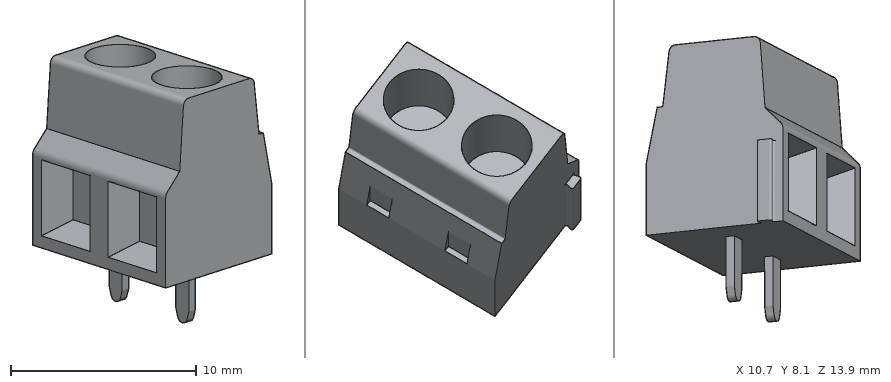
import cadquery as cq
import math


pole_count = 2
pitch = 5.08
pole_positions = [pitch * (index + 0.5) for index in range(pole_count)]

housing_length = pole_count * pitch
housing_depth = 8.1
housing_height = 10.4
front_y = -housing_depth / 2
rear_y = housing_depth / 2
front_wall_top = 5.32
shoulder_run = 1.07
tower_front_y = -2.67
tower_rear_y = 2.66
rear_wall_top = 3.97
ledge_height = 7.04
ledge_outer_y = 3.4
ledge_inner_y = 3.07
top_round = 0.4
shoulder_round = 0.5
ledge_round = 0.08

screw_hole_diameter = 3.8
screw_hole_depth = 4.0
screw_hole_y = 0.1

funnel_width = 3.7
funnel_bottom = 0.7
funnel_height = 4.32
funnel_inset = 0.65
funnel_depth = 1.75

notch_width = 1.43
notch_depth = 0.34

rail_projection = 0.5
rail_height = 4.5
rail_center_y = -3.14
rail_head_width = 0.92
rail_flank_angle = 15
rail_round = 0.1

pin_width = 1.0
pin_thickness = 0.5
pin_length = 3.5
pin_taper_length = 0.43
pin_tip_height = 0.31
pin_tip_width = 0.74


def make_housing_block():
    shoulder_inner_y = front_y + shoulder_run
    shoulder_top = front_wall_top + shoulder_run
    outline = [
        (front_y, 0),
        (front_y, front_wall_top),
        (shoulder_inner_y, shoulder_top),
        (tower_front_y, housing_height),
        (tower_rear_y, housing_height),
        (ledge_inner_y, ledge_height),
        (ledge_outer_y, ledge_height),
        (rear_y, rear_wall_top),
        (rear_y, 0),
    ]
    block = cq.Workplane("YZ").polyline(outline).close().extrude(housing_length)

    def round_edge(body, y, z, radius):
        edge = cq.selectors.NearestToPointSelector((housing_length / 2, y, z))
        return body.edges(edge).fillet(radius)

    block = round_edge(block, front_y, front_wall_top, shoulder_round)
    block = round_edge(block, tower_front_y, housing_height, top_round)
    block = round_edge(block, tower_rear_y, housing_height, top_round)
    return round_edge(block, ledge_inner_y, ledge_height, ledge_round)


def make_rail():
    """Dovetail rail, rounded at its head corners."""
    neck_half = rail_head_width / 2 - rail_projection * math.tan(math.radians(rail_flank_angle))
    head_half = rail_head_width / 2
    outline = [
        (0, rail_center_y - neck_half),
        (-rail_projection, rail_center_y - head_half),
        (-rail_projection, rail_center_y + head_half),
        (0, rail_center_y + neck_half),
    ]
    rail = cq.Workplane("XY").polyline(outline).close().extrude(rail_height)
    return rail.edges("|Z").edges("<X").fillet(rail_round)


def add_rail(housing):
    """Join the rail to the left face and round its root."""
    housing = housing.union(make_rail())
    root_margin = 0.01
    root_edges = cq.selectors.BoxSelector(
        (-root_margin, rail_center_y - rail_head_width / 2, root_margin),
        (root_margin, rail_center_y + rail_head_width / 2, rail_height - root_margin),
    )
    return housing.edges("|Z").edges(root_edges).fillet(rail_round)


def make_screw_hole(x):
    return (
        cq.Workplane("XY", origin=(x, screw_hole_y, housing_height))
        .circle(screw_hole_diameter / 2)
        .extrude(-screw_hole_depth)
    )


def make_funnel(x):
    center_z = funnel_bottom + funnel_height / 2
    return (
        cq.Workplane("XZ", origin=(x, front_y, center_z))
        .rect(funnel_width, funnel_height)
        .workplane(offset=-funnel_depth)
        .rect(funnel_width - 2 * funnel_inset, funnel_height - 2 * funnel_inset)
        .loft(ruled=True)
    )


def make_notch(x):
    """Pocket with a level floor where the rear face starts to lean."""
    return (
        cq.Workplane("XY", origin=(x, rear_y - notch_depth / 2, rear_wall_top))
        .rect(notch_width, notch_depth)
        .extrude(ledge_height - rear_wall_top)
    )


def make_housing():
    housing = add_rail(make_housing_block())
    for x in pole_positions:
        housing = housing.cut(make_screw_hole(x))
        housing = housing.cut(make_funnel(x))
        housing = housing.cut(make_notch(x))
    return housing


def make_pin(x):
    """Flat pin hanging from the underside, tapering to a rounded tip."""
    tip_start = -pin_length + pin_tip_height
    taper_start = tip_start + pin_taper_length
    return (
        cq.Workplane("XZ", origin=(x, 0, 0))
        .moveTo(-pin_width / 2, 0)
        .lineTo(-pin_width / 2, taper_start)
        .lineTo(-pin_tip_width / 2, tip_start)
        .threePointArc((0, -pin_length), (pin_tip_width / 2, tip_start))
        .lineTo(pin_width / 2, taper_start)
        .lineTo(pin_width / 2, 0)
        .close()
        .extrude(pin_thickness / 2, both=True)
    )


housing = make_housing()
pins = [make_pin(x) for x in pole_positions]

result = cq.Compound.makeCompound([housing.val(), *[pin.val() for pin in pins]])